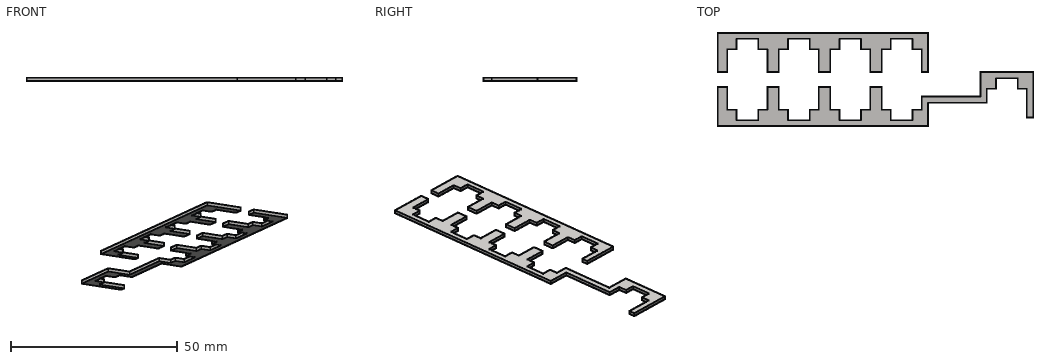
import cadquery as cq

length = 94.9
width = 28.0
thickness = 1.0

frame_depth = 11.8
rail_width = 1.8
end_tooth_width = 2.9
opening_count = 4
opening_pitch = 15.5

opening_width = 12.0
neck_width = 6.45
neck_depth = 3.1

strip_width = 2.0
frame_length = end_tooth_width + (opening_count - 1) * opening_pitch + opening_width + strip_width

link_top = 8.9
link_bottom = link_top - strip_width
hook_top = 16.3
hook_tip = 2.6
hook_width = opening_width + 2 * strip_width
hook_left = length - hook_width


def plate(x_min, x_max, y_min, y_max):
    """Rectangular plate of the common thickness, standing on Z = 0."""
    return cq.Workplane("XY").box(
        x_max - x_min, y_max - y_min, thickness, centered=False
    ).translate((x_min, y_min, 0))


def stepped_opening(left, y_open, y_neck_end):
    """Wide slot from y_open that narrows to a neck ending at y_neck_end."""
    direction = 1 if y_neck_end > y_open else -1
    y_step = y_neck_end - direction * neck_depth
    neck_left = left + (opening_width - neck_width) / 2
    neck_right = neck_left + neck_width
    right = left + opening_width
    return (
        cq.Workplane("XY")
        .polyline([
            (left, y_open),
            (left, y_step),
            (neck_left, y_step),
            (neck_left, y_neck_end),
            (neck_right, y_neck_end),
            (neck_right, y_step),
            (right, y_step),
            (right, y_open),
        ])
        .close()
        .extrude(thickness)
    )


def cut_comb_openings(blank, y_open, y_neck_end):
    """Cut the row of stepped openings that leaves the teeth of a comb."""
    for index in range(opening_count):
        left = end_tooth_width + index * opening_pitch
        blank = blank.cut(stepped_opening(left, y_open, y_neck_end))
    return blank


def make_upper_comb():
    """Comb with its rail along the +Y edge and teeth pointing to -Y."""
    tip_y = width - frame_depth
    blank = plate(0, frame_length, tip_y, width)
    return cut_comb_openings(blank, tip_y, width - rail_width)


def make_hook():
    """Stepped hook at the +X end: short arm at the link, long arm outside."""
    inner_right = length - strip_width
    body = plate(hook_left, length, link_bottom, hook_top)
    body = body.cut(stepped_opening(hook_left + strip_width, link_bottom, hook_top - strip_width))
    return body.union(plate(inner_right, length, hook_tip, hook_top))


def make_lower_comb():
    """Comb with its rail along Y = 0, joined by a link strip to the hook."""
    last_tooth_left = frame_length - strip_width
    blank = plate(0, last_tooth_left, 0, frame_depth)
    blank = blank.union(plate(last_tooth_left, frame_length, 0, link_top))
    comb = cut_comb_openings(blank, frame_depth, rail_width)
    link = plate(last_tooth_left, hook_left + strip_width, link_bottom, link_top)
    return comb.union(link).union(make_hook()).clean()


upper_comb = make_upper_comb()
lower_comb = make_lower_comb()

result = cq.Compound.makeCompound([*upper_comb.solids().vals(), *lower_comb.solids().vals()])